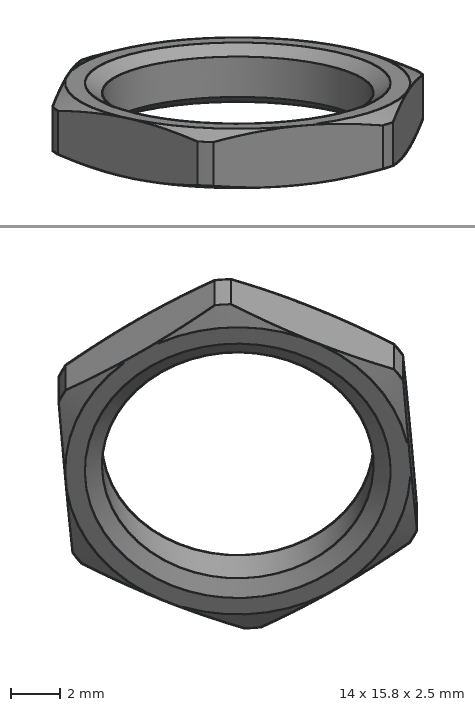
import cadquery as cq
import math

across_flats = 14.0
corner_diameter = 15.8
thickness = 2.5
bore_diameter = 11.0
countersink_diameter = 12.39
countersink_angle = 30.0
face_diameter = 13.98
corner_chamfer_angle = 20.0

bore_radius = bore_diameter / 2
countersink_radius = countersink_diameter / 2
face_radius = face_diameter / 2
corner_radius = corner_diameter / 2
countersink_depth = (countersink_radius - bore_radius) * math.tan(math.radians(countersink_angle))
chamfer_depth = (corner_radius - face_radius) * math.tan(math.radians(corner_chamfer_angle))


def hexagon_prism():
    point_to_point = across_flats / math.cos(math.radians(30))
    return (
        cq.Workplane("XY")
        .polygon(6, point_to_point)
        .extrude(thickness)
        .rotate((0, 0, 0), (0, 0, 1), 30)
    )


def chamfered_ring():
    """Revolved ring with countersunk bore and conical outer edges on both faces."""
    profile = [
        (bore_radius, countersink_depth),
        (countersink_radius, 0),
        (face_radius, 0),
        (corner_radius, chamfer_depth),
        (corner_radius, thickness - chamfer_depth),
        (face_radius, thickness),
        (countersink_radius, thickness),
        (bore_radius, thickness - countersink_depth),
    ]
    return cq.Workplane("XZ").polyline(profile).close().revolve(360, (0, 0), (0, 1))


result = hexagon_prism().intersect(chamfered_ring())